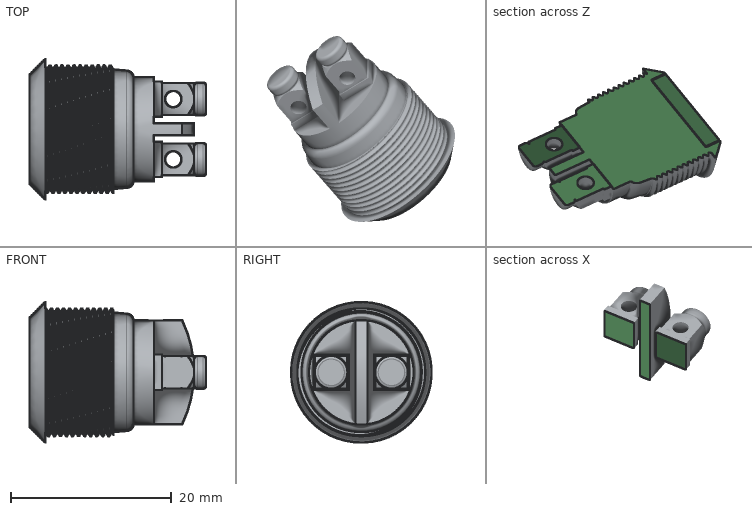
import cadquery as cq
import math


flange_length = 2.0
thread_end = 10.5
shoulder_end = 13.0
shoulder_rounding = 1.0
shoulder_taper_angle = 5.0
boss_end = 15.5

flange_diameter = 17.5
flange_front_diameter = flange_diameter - 2 * flange_length
thread_crest_diameter = 15.91
thread_root_diameter = 15.04
shoulder_front_diameter = 14.9
boss_diameter = 13.0

thread_pitch = 0.75
thread_flank_angle = 30.0
thread_crest_width = thread_pitch / 8
thread_root_overlap = 0.1
thread_top_crest_offset = 0.01

button_diameter = 12.9
recess_diameter = 13.0
button_depth = flange_length

blade_thickness = 1.5
blade_corner_length = 3.5
blade_length = 5.0

terminal_offset = 3.75
base_width = 4.4
base_length = 1.0
block_width = 4.0
block_length = 4.0
wire_hole_diameter = 2.0
wire_hole_distance = 2.4
head_diameter = 4.1
head_length = 1.5
head_rounding = 0.4


def cylinder(diameter, start, end):
    """Solid cylinder on the X axis between two X positions."""
    return cq.Workplane("YZ", origin=(start, 0, 0)).circle(diameter / 2).extrude(end - start)


def make_flange_and_boss():
    """Turned body: conical flange, thread core and rear boss."""
    profile = (
        cq.Workplane("XY")
        .lineTo(0, flange_front_diameter / 2)
        .lineTo(flange_length, flange_diameter / 2)
        .lineTo(flange_length, thread_root_diameter / 2)
        .lineTo(thread_end, thread_root_diameter / 2)
        .lineTo(thread_end, boss_diameter / 2)
        .lineTo(boss_end, boss_diameter / 2)
        .lineTo(boss_end, 0)
        .close()
    )
    turned = profile.revolve(360, (0, 0, 0), (1, 0, 0))
    return turned.rotate((0, 0, 0), (1, 0, 0), 180)


def make_shoulder():
    """Slightly tapered shoulder behind the thread with a rounded rear edge."""
    cone = (
        cq.Workplane("YZ", origin=(thread_end, 0, 0))
        .circle(shoulder_front_diameter / 2)
        .extrude(shoulder_end - thread_end, taper=shoulder_taper_angle)
    )
    return cone.faces(">X").edges().fillet(shoulder_rounding)


def make_thread():
    """Right-hand helical ridge that starts inside the flange and is cut flat at the thread end."""
    root_radius = thread_root_diameter / 2 - thread_root_overlap
    crest_radius = thread_crest_diameter / 2
    half_crest = thread_crest_width / 2
    half_root = half_crest + (crest_radius - root_radius) * math.tan(math.radians(thread_flank_angle))

    start = flange_length + thread_top_crest_offset - thread_pitch / 2
    sweep_length = thread_end + thread_pitch - start
    helix = cq.Workplane(cq.Wire.makeHelix(thread_pitch, sweep_length, root_radius))
    ridge = (
        cq.Workplane("XZ")
        .moveTo(root_radius, -half_root)
        .lineTo(crest_radius, -half_crest)
        .lineTo(crest_radius, half_crest)
        .lineTo(root_radius, half_root)
        .close()
        .sweep(helix, isFrenet=True)
    )
    ridge = ridge.rotate((0, 0, 0), (0, 1, 0), 90).translate((start, 0, 0))
    return ridge.intersect(cylinder(flange_diameter, 0, thread_end))


def make_blade():
    """Flat blade behind the boss with an arched rear edge and sides flush with the boss."""
    half_width = boss_diameter / 2
    corner = boss_end + blade_corner_length
    tip = boss_end + blade_length
    plate = (
        cq.Workplane("XZ")
        .moveTo(boss_end, -half_width)
        .lineTo(corner, -half_width)
        .threePointArc((tip, 0), (corner, half_width))
        .lineTo(boss_end, half_width)
        .close()
        .extrude(blade_thickness / 2, both=True)
    )
    return plate.intersect(cylinder(boss_diameter, boss_end, tip))


def make_housing():
    recess = cylinder(recess_diameter, 0, button_depth)
    body = make_flange_and_boss().union(make_thread())
    return body.union(make_shoulder()).union(make_blade()).cut(recess)


def make_button():
    return cylinder(button_diameter, 0, button_depth)


def make_terminal(y):
    """Square terminal with a wire hole, a conically trimmed end and a round screw head."""
    block_start = boss_end + base_length
    block_end = block_start + block_length
    base = cq.Workplane("YZ", origin=(boss_end, 0, 0)).rect(base_width, base_width).extrude(base_length)
    block = cq.Workplane("YZ", origin=(block_start, 0, 0)).rect(block_width, block_width).extrude(block_length)

    trim_cone = (
        cq.Workplane("XY")
        .moveTo(block_start, 0)
        .lineTo(block_start, head_diameter / 2 + block_length)
        .lineTo(block_end, head_diameter / 2)
        .lineTo(block_end, 0)
        .close()
        .revolve(360, (0, 0, 0), (1, 0, 0))
    )
    wire_hole = (
        cq.Workplane("XY", origin=(boss_end + wire_hole_distance, 0, 0))
        .circle(wire_hole_diameter / 2)
        .extrude(block_width, both=True)
    )
    head = cylinder(head_diameter, block_end, block_end + head_length).edges().fillet(head_rounding)
    terminal = base.union(block.intersect(trim_cone)).union(head).cut(wire_hole)
    return terminal.translate((0, y, 0))


housing = make_housing()
button = make_button()
terminals = [make_terminal(side * terminal_offset) for side in (-1, 1)]

result = cq.Compound.makeCompound(
    [housing.val(), button.val(), *[terminal.val() for terminal in terminals]]
)